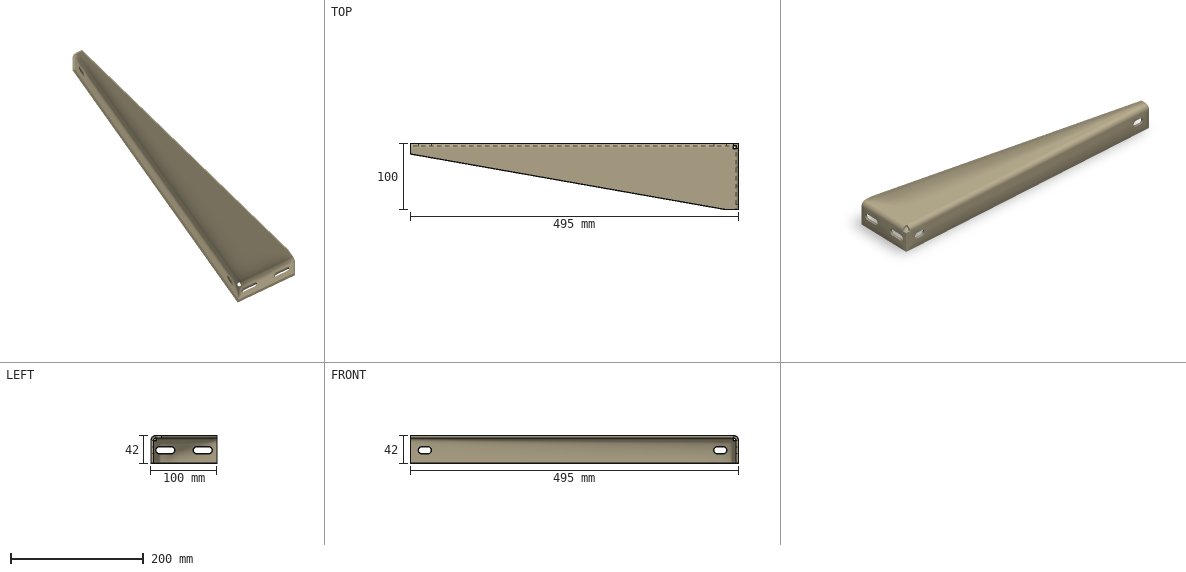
import cadquery as cq

length = 495.0
width = 100.0
height = 42.0

thickness = 4.0
bend_radius = 8.0
inner_radius = bend_radius - thickness
flange_top = height - bend_radius

tip_width = 16.5
straight_edge = 21.0

slot_width = 10.5
slot_height = 20.0
back_slot_length = 19.5
end_slot_length = 28.0
slot_inset = 22.0
back_slot_pitch = 445.5


def make_shelf():
    """Tapered flat plate, stopping where the two bends begin."""
    bend_x = length - bend_radius
    bend_y = width - bend_radius
    return (
        cq.Workplane("XY", origin=(0, 0, height - thickness))
        .moveTo(0, bend_y)
        .lineTo(0, width - tip_width)
        .lineTo(length - straight_edge, 0)
        .lineTo(bend_x, 0)
        .lineTo(bend_x, bend_y)
        .close()
        .extrude(thickness)
    )


def make_bend(plane, outer_face, run):
    """Quarter-round bend between the shelf and a flange."""
    start = outer_face - bend_radius
    quarter = cq.Workplane(plane).center(start, flange_top).circle(bend_radius)
    ring = quarter.circle(inner_radius).extrude(run)
    corner = cq.Workplane(plane).moveTo(start, flange_top)
    corner = corner.rect(bend_radius, bend_radius, centered=False).extrude(run)
    return ring.intersect(corner)


def make_slot(plane, position, slot_length, depth):
    """Cutter for a horizontal slot through a flange."""
    return (
        cq.Workplane(plane)
        .center(position, slot_height)
        .slot2D(slot_length, slot_width)
        .extrude(depth)
    )


def make_back_flange():
    """Long flange on the +Y side, with a short slot near each end."""
    flange = cq.Workplane("XY").box(length, thickness, flange_top, centered=False)
    flange = flange.translate((0, width - thickness, 0))
    for x in (slot_inset, slot_inset + back_slot_pitch):
        flange = flange.cut(make_slot("XZ", x, back_slot_length, -width))
    return flange


def make_end_flange():
    """Short flange on the +X side, with two long slots."""
    flange = cq.Workplane("XY").box(thickness, width, flange_top, centered=False)
    flange = flange.translate((length - thickness, 0, 0))
    for y in (slot_inset, width - slot_inset):
        flange = flange.cut(make_slot("YZ", y, end_slot_length, length))
    return flange


back_bend = make_bend("YZ", width, length - bend_radius)
end_bend = make_bend("XZ", length, -(width - bend_radius))

result = (
    make_shelf()
    .union(back_bend)
    .union(end_bend)
    .union(make_back_flange())
    .union(make_end_flange())
)